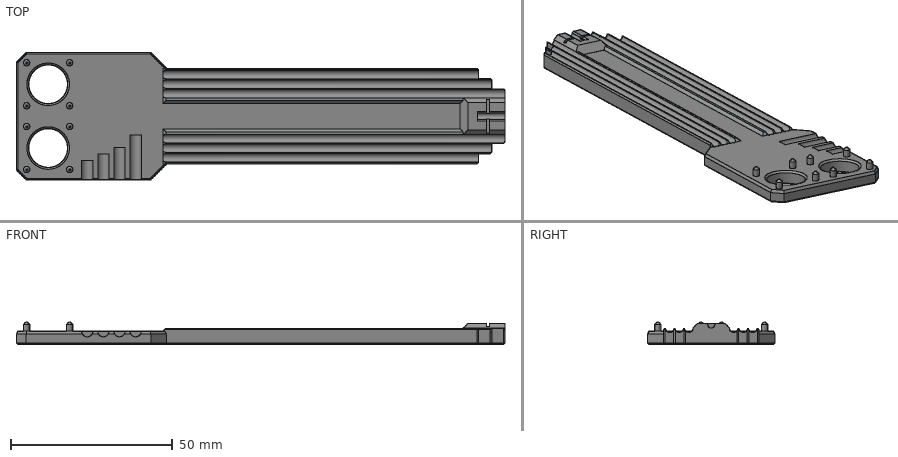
import cadquery as cq
import math

length = 151.6
head_width = 39.5
head_thickness = 4.1
handle_thickness = 5.0
boss_top = 6.5
head_half = head_width / 2

tier_half_widths = [14.9, 11.7, 8.5]
tier_ends = [143.4, 147.5, length]
tier_corner = 0.53
tier_top_edge = 0.5

front_corner = 3.0
shoulder_start = 41.7
shoulder_end = shoulder_start + head_half - tier_half_widths[0]

head_edge_height = 0.9
head_edge_inset = 0.5
bottom_edge = 0.5

window_diameter = 12.0
window_chamfer = 0.6
window_x = 9.9
window_y = head_half / 2
pin_offset = 6.7
pin_diameter = 2.0
pin_top = 7.0
pin_tip = 0.8

gauge_lengths = [6.0, 8.0, 10.0, 14.0]
gauge_first_x = 22.0
gauge_pitch = 5.0
gauge_radius = 1.75

groove_radius = 1.29
groove_pitch = 2.95
groove_outer_y = 12.9
grooves_per_side = 3
ramp_start = 45.5

channel_half_width = 4.0
channel_end = 137.7
channel_overlap = 1.5

boss_half_width = 4.2
tip_groove_radius = 0.99
tip_groove_flare = 0.5
tip_groove_start = 143.0
slot_x = 146.3
slot_width = 0.9
slot_depth = 0.9

boss_rise = boss_top - head_thickness


def prism_x(points, x_start, x_end):
    """Extrude a (y, z) outline along X."""
    return cq.Workplane("YZ", origin=(x_start, 0, 0)).polyline(points).close().extrude(x_end - x_start)


def prism_y(points):
    """Extrude an (x, z) outline across the full width."""
    return cq.Workplane("XZ").polyline(points).close().extrude(head_half, both=True)


def rod_x(radius, x_start, x_end, y, z):
    return cq.Workplane("YZ", origin=(x_start, y, z)).circle(radius).extrude(x_end - x_start)


def rod_y(radius, x, y_start, y_end, z):
    return cq.Workplane("XZ", origin=(x, y_start, z)).circle(radius).extrude(y_start - y_end)


def flared_profile(half_width, z_low, z_high):
    """Trapezoid about y = 0 that widens upward at 45 degrees."""
    top_half_width = half_width + z_high - z_low
    return [
        (-half_width, z_low),
        (half_width, z_low),
        (top_half_width, z_high),
        (-top_half_width, z_high),
    ]


def make_head():
    outline = [
        (front_corner, -head_half),
        (shoulder_start, -head_half),
        (shoulder_end, -tier_half_widths[0]),
        (shoulder_end, tier_half_widths[0]),
        (shoulder_start, head_half),
        (front_corner, head_half),
        (0, head_half - front_corner),
        (0, front_corner - head_half),
    ]
    straight_height = head_thickness - head_edge_height
    edge_taper = math.degrees(math.atan2(head_edge_inset, head_edge_height))
    plate = cq.Workplane("XY").polyline(outline).close().extrude(straight_height)
    plate = plate.faces("<Z").edges("not >X").chamfer(bottom_edge)
    sloped_rim = (
        cq.Workplane("XY", origin=(0, 0, straight_height))
        .polyline(outline).close()
        .extrude(head_edge_height, taper=edge_taper)
    )
    return plate.union(sloped_rim)


def make_tier(half_width, x_end):
    tier = (
        cq.Workplane("XY", origin=(ramp_start, 0, 0))
        .box(x_end - ramp_start, 2 * half_width, handle_thickness, centered=(False, True, False))
        .edges(">X and |Z").chamfer(tier_corner)
    )
    return tier.faces("<Z").edges("not <X").chamfer(bottom_edge)


def make_handle():
    handle = make_tier(tier_half_widths[0], tier_ends[0])
    handle = handle.faces(">Z").edges("|X").chamfer(tier_top_edge)
    for half_width, x_end in zip(tier_half_widths[1:], tier_ends[1:]):
        handle = handle.union(make_tier(half_width, x_end))
    above_ramp = prism_y([
        (ramp_start, head_thickness),
        (ramp_start + handle_thickness - head_thickness, handle_thickness),
        (ramp_start, handle_thickness),
    ])
    return handle.cut(above_ramp)


def make_boss():
    base_half_width = boss_half_width + boss_rise
    bar = prism_x(
        [
            (-base_half_width, head_thickness),
            (base_half_width, head_thickness),
            (boss_half_width, boss_top),
            (-boss_half_width, boss_top),
        ],
        channel_end,
        length,
    )
    above_front_slope = prism_y([
        (channel_end, head_thickness),
        (channel_end + boss_rise, boss_top),
        (channel_end, boss_top),
    ])
    return bar.cut(above_front_slope)


def make_channel():
    channel_start = ramp_start - channel_overlap
    lengthwise = prism_y([
        (channel_start, head_thickness),
        (channel_end, head_thickness),
        (channel_end + boss_rise, boss_top),
        (channel_start, boss_top),
    ])
    crosswise = prism_x(flared_profile(channel_half_width, head_thickness, boss_top), 0, length)
    return lengthwise.intersect(crosswise)


def make_window(y):
    bore = cq.Workplane("XY", origin=(window_x, y, 0)).circle(window_diameter / 2).extrude(head_thickness)
    countersink = (
        cq.Workplane("XY", origin=(window_x, y, head_thickness - window_chamfer))
        .circle(window_diameter / 2)
        .workplane(offset=window_chamfer)
        .circle(window_diameter / 2 + window_chamfer)
        .loft()
    )
    return bore.union(countersink)


def make_pin(x, y):
    return (
        cq.Workplane("XY", origin=(x, y, 0))
        .circle(pin_diameter / 2).extrude(pin_top)
        .faces(">Z").chamfer(pin_tip)
    )


def make_tip_groove():
    flare_base = boss_top - tip_groove_flare
    bottom = rod_x(tip_groove_radius, tip_groove_start, length, 0, flare_base)
    flare = prism_x(flared_profile(tip_groove_radius, flare_base, boss_top), tip_groove_start, length)
    return bottom.union(flare)


body = make_head().union(make_handle()).union(make_boss())

for side in (-1, 1):
    for index in range(grooves_per_side):
        groove_y = side * (groove_outer_y - index * groove_pitch)
        body = body.cut(rod_x(groove_radius, ramp_start, length, groove_y, handle_thickness))

body = body.cut(make_channel())

for center_y in (-window_y, window_y):
    body = body.cut(make_window(center_y))
    for x_side in (-1, 1):
        for y_side in (-1, 1):
            body = body.union(make_pin(window_x + x_side * pin_offset, center_y + y_side * pin_offset))

for index, gauge_length in enumerate(gauge_lengths):
    gauge_x = gauge_first_x + index * gauge_pitch
    body = body.cut(rod_y(gauge_radius, gauge_x, -head_half, gauge_length - head_half, head_thickness))

body = body.cut(make_tip_groove())
cross_slot = cq.Workplane("XY", origin=(slot_x, 0, boss_top)).box(slot_width, head_width, 2 * slot_depth)
body = body.cut(cross_slot)

result = body